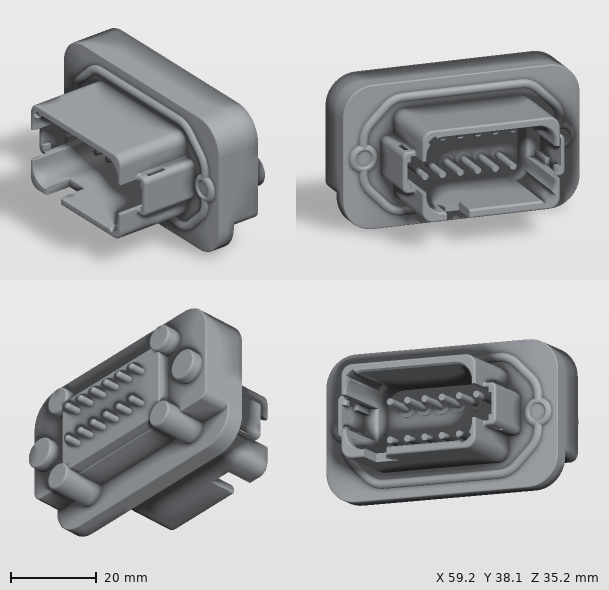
import cadquery as cq
import math


length = 59.2
height = 35.25
corner_radius = 7.5
flange_thickness = 4.55
housing_depth = 11.7
housing_bottom = -10.1
housing_bottom_radius = 2.0
edge_round = 0.3

rear_block_y = 14.7
rear_block_half_x = 16.7
rear_block_half_z = 9.9
rear_block_radius = 3.4
post_y = 15.6
post_radius = 3.3
post_x = 17.5
post_z = 10.7
boss_radius = 3.85
rear_round = 0.5

bead_radius = 1.1
bead_half_x = 24.65
bead_half_z = 13.87
bead_bevel = 7.37
bead_bend_radius = 6.2
ring_radius = 2.43
ring_dish_radius = 2.3
ring_dish_depth = 0.43
ring_dish_taper = 45

shroud_front = -19.44
shroud_half_x = 17.2
shroud_half_z = 11.2
shroud_radius = 2.7
shroud_round = 0.5
cavity_half_x = 15.97
cavity_half_z = 9.12
cavity_radius = 4.1
cavity_floor = 5.0
mouth_chamfer_width = 0.4
mouth_chamfer_depth = 0.7
notch_center_x = -8.35
notch_width = 5.75
notch_depth = 7.0

latch_front = -14.58
latch_half_x = 20.27
latch_half_z = 5.07
latch_radius = 1.4
latch_round = 0.55
slot_half_x = 18.0
slot_half_z = 4.02
slot_floor = -1.0
slot_lip_round = 0.85
recess_half_x = 19.2
recess_half_z = 2.6
window_front = -12.68
window_back = -7.65
catch_lead_in = 0.6

keyway_angle = 54.0
keyway_radius = 5.3
keyway_end = slot_floor
keyway_lip_round = slot_lip_round
upper_keyway_width = 2.2
lower_keyway_width = 3.3

pin_columns = 6
pin_pitch = 4.41
pin_row_z = 4.55
pin_radius = 0.8
pin_rear = 18.68
pin_front = -5.0
pin_tip_round = 0.55
collar_radius = 1.95
collar_height = 0.3

selection_margin = 0.1

SIDES = (-1, 1)


def section(y):
    """Workplane parallel to XZ at depth y; extruding runs toward -Y."""
    return cq.Workplane("XZ", origin=(0, y, 0))


def block(x_min, x_max, y_min, y_max, z_min, z_max):
    size = (x_max - x_min, y_max - y_min, z_max - z_min)
    return cq.Workplane("XY").box(*size, centered=False).translate((x_min, y_min, z_min))


def end_block(side, x_inner, x_outer, y_min, y_max, z_min, z_max):
    """Block at one end of the connector, with X measured outward from the middle."""
    x_min, x_max = sorted((side * x_inner, side * x_outer))
    return block(x_min, x_max, y_min, y_max, z_min, z_max)


def rounded_prism(half_x, half_z, radius, y_front, y_back):
    prism = section(y_back).rect(2 * half_x, 2 * half_z).extrude(y_back - y_front)
    return prism.edges("|Y").fillet(radius)


def cylinder(x, z, radius, y_front, y_back):
    return section(y_back).center(x, z).circle(radius).extrude(y_back - y_front)


def make_housing():
    flange = rounded_prism(length / 2, height / 2, corner_radius, 0, flange_thickness)
    top = height / 2
    deep = block(-length / 2, length / 2, 0, housing_depth, housing_bottom, top)
    deep = deep.edges("|Y and >Z").fillet(corner_radius)
    deep = deep.edges("|Y and <Z").fillet(housing_bottom_radius)
    housing = flange.edges(">Y").fillet(edge_round).union(deep.edges(">Y").fillet(edge_round))
    return housing.faces("<Y").edges().fillet(edge_round)


def make_rear_details():
    start = housing_depth / 2
    rear = rounded_prism(rear_block_half_x, rear_block_half_z, rear_block_radius, start, rear_block_y)
    rear = rear.faces(">Y").edges().fillet(edge_round)
    for side in SIDES:
        boss = cylinder(side * bead_half_x, 0, boss_radius, start, rear_block_y)
        rear = rear.union(boss.faces(">Y").edges().fillet(rear_round))
        for row in SIDES:
            post = cylinder(side * post_x, row * post_z, post_radius, flange_thickness / 2, post_y)
            rear = rear.union(post.faces(">Y").edges().fillet(rear_round))
    return rear


def make_bead():
    """Round bead swept along a bevelled rectangle with rounded bends."""
    x_outer = bead_half_x
    z_outer = bead_half_z
    x_inner = x_outer - bead_bevel
    z_inner = z_outer - bead_bevel
    corners = [
        (x_inner, z_outer), (x_outer, z_inner), (x_outer, -z_inner), (x_inner, -z_outer),
        (-x_inner, -z_outer), (-x_outer, -z_inner), (-x_outer, z_inner), (-x_inner, z_outer),
    ]
    outline = section(0).polyline(corners).close().val()
    path = outline.fillet2D(bead_bend_radius, outline.Vertices())
    profile_plane = cq.Plane(path.positionAt(0), normal=path.tangentAt(0))
    bead = cq.Workplane(profile_plane).circle(bead_radius).sweep(cq.Workplane(path))
    for side in SIDES:
        center = cq.Vector(side * bead_half_x, 0, 0)
        ring = cq.Solid.makeTorus(ring_radius, bead_radius, center, cq.Vector(0, 1, 0))
        inside = cylinder(center.x, 0, ring_radius, -bead_radius, flange_thickness / 2)
        dish = section(-bead_radius).center(center.x, 0).circle(ring_dish_radius)
        dish = dish.extrude(-ring_dish_depth, taper=ring_dish_taper)
        bead = bead.union(inside).union(cq.Workplane(ring)).cut(dish)
    return bead


def make_shroud_body():
    root = flange_thickness / 2
    shroud = rounded_prism(shroud_half_x, shroud_half_z, shroud_radius, shroud_front, root)
    shroud = shroud.faces("<Y").edges().fillet(shroud_round)
    latch = rounded_prism(latch_half_x, latch_half_z, latch_radius, latch_front, root)
    latch = latch.faces("<Y").edges().fillet(latch_round)
    body = shroud.union(latch)
    margin = selection_margin
    for side in SIDES:
        x = side * shroud_half_x
        low = (x - margin, latch_front - margin, -latch_half_z - margin)
        high = (x + margin, root + margin, latch_half_z + margin)
        body = body.edges(cq.selectors.BoxSelector(low, high, boundingbox=True)).fillet(latch_round)
    return body


def keyway(side, width):
    """Arc-floored groove in a cavity corner: lower +X corner for side 1, upper -X corner for side -1."""
    x = cavity_half_x - cavity_radius
    z = cavity_half_z - cavity_radius
    lip = keyway_lip_round
    lip_bulge = lip * math.sqrt(0.5)
    profile = (
        cq.Workplane("XY")
        .moveTo(0, shroud_front)
        .lineTo(keyway_radius, shroud_front)
        .lineTo(keyway_radius, keyway_end)
        .lineTo(cavity_radius + lip, keyway_end)
        .threePointArc(
            (cavity_radius + lip - lip_bulge, keyway_end + lip - lip_bulge),
            (cavity_radius, keyway_end + lip),
        )
        .lineTo(0, keyway_end + lip)
        .close()
    )
    groove = profile.revolve(360, (0, 0, 0), (0, 1, 0))
    strip = block(0, keyway_radius, shroud_front, keyway_end + lip, -width / 2, width / 2)
    groove = groove.intersect(strip)
    groove = groove.rotate((0, 0, 0), (0, 1, 0), keyway_angle).translate((x, 0, -z))
    return groove if side > 0 else groove.rotate((0, 0, 0), (0, 1, 0), 180)


def make_mouth_chamfer():
    half_x = cavity_half_x + mouth_chamfer_width
    half_z = cavity_half_z + mouth_chamfer_width
    mouth = cq.Sketch().rect(2 * half_x, 2 * half_z)
    mouth = mouth.vertices().fillet(cavity_radius + mouth_chamfer_width)
    taper = math.degrees(math.atan2(mouth_chamfer_width, mouth_chamfer_depth))
    return section(shroud_front).placeSketch(mouth).extrude(-mouth_chamfer_depth, taper=taper)


def cut_cavity(part):
    """Hollow out the shroud, break the inner edge of its mouth and add the corner keyways."""
    part = part.cut(rounded_prism(cavity_half_x, cavity_half_z, cavity_radius, shroud_front, cavity_floor))
    part = part.cut(make_mouth_chamfer())
    return part.cut(keyway(1, lower_keyway_width)).cut(keyway(-1, upper_keyway_width))


def cut_notch(part):
    """Open the lower shroud wall with a rectangular notch at the mouth."""
    x_min = notch_center_x - notch_width / 2
    x_max = notch_center_x + notch_width / 2
    y_max = shroud_front + notch_depth
    return part.cut(block(x_min, x_max, shroud_front, y_max, -shroud_half_z, 0))


def cut_latch(part, side):
    """Open one end of the shroud into its latch housing and leave the two catches standing."""
    slot = end_block(side, 0, slot_half_x, shroud_front, slot_floor, -slot_half_z, slot_half_z)
    recess = end_block(side, 0, recess_half_x, shroud_front, slot_floor, -recess_half_z, recess_half_z)
    window = end_block(
        side, slot_half_x, recess_half_x, window_front, window_back, -latch_half_z, latch_half_z
    )
    lead_in = [
        (side * slot_half_x, latch_front),
        (side * (slot_half_x + catch_lead_in), latch_front),
        (side * slot_half_x, latch_front + catch_lead_in),
    ]
    bevel = cq.Workplane("XY").polyline(lead_in).close().extrude(slot_half_z, both=True)
    part = part.cut(slot).cut(recess).cut(window).cut(bevel)
    margin = selection_margin
    low = (side * cavity_half_x - margin, slot_floor - margin, -slot_half_z - margin)
    high = (side * cavity_half_x + margin, slot_floor + margin, slot_half_z + margin)
    lip = cq.selectors.BoxSelector(low, high, boundingbox=True)
    return part.edges(lip).fillet(slot_lip_round)


def make_contact(x, z):
    """Contact pin running through the cavity floor, with a low collar around it on the floor."""
    pin = cylinder(x, z, pin_radius, pin_front, pin_rear)
    pin = pin.faces(">Y").edges().fillet(pin_tip_round)
    collar = cylinder(x, z, collar_radius, cavity_floor - collar_height, cavity_floor + collar_height)
    return pin.union(collar)


def add_contacts(part):
    for row in SIDES:
        for column in range(pin_columns):
            x = (column - (pin_columns - 1) / 2) * pin_pitch
            part = part.union(make_contact(x, row * pin_row_z))
    return part


shell = make_housing().union(make_rear_details()).union(make_bead()).union(make_shroud_body())
shell = cut_cavity(shell)
shell = cut_notch(shell)
for end in SIDES:
    shell = cut_latch(shell, end)

result = add_contacts(shell)